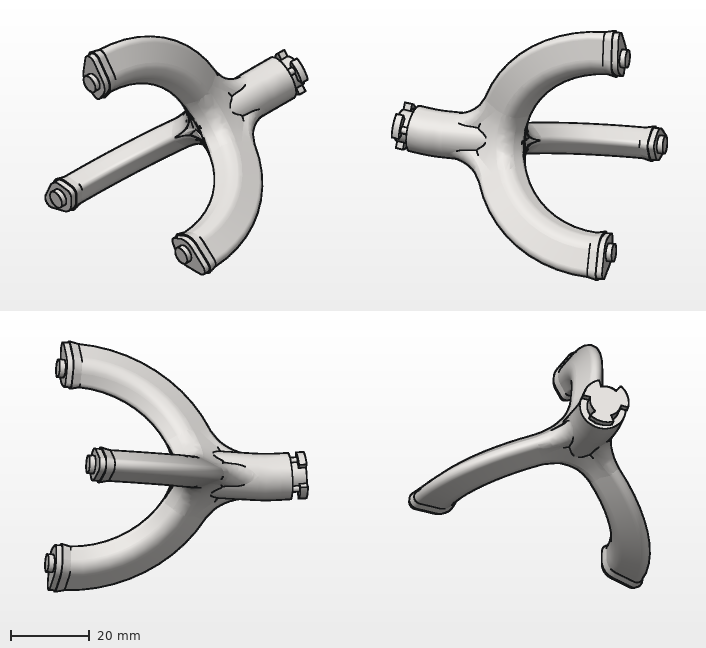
import cadquery as cq
import math


leg_count = 3
leg_pitch = 360 / leg_count
first_leg_angle = 15
leg_radius = 28.58
pin_diameter = 4.6
pin_length = 1.5
block_height = 1.6
flare_height = 2.35
flare_top = pin_length + block_height + flare_height

bend_centre_height = 4.2
bend_centre_offset = 1.3
leg_bend_radius = leg_radius + bend_centre_offset
crown_height = bend_centre_height + math.sqrt(leg_bend_radius ** 2 - bend_centre_offset ** 2)

belly_radius = 4.5
tip_radius = 2.3
tip_offset = 5.6
inner_radius = 1.9
leg_inset = 0.55
block_inset = 0.4

crotch_radius = 15
saddle_radius = 11.4
saddle_top_radius = 3.8
blend_sections = 5
blend_inset = leg_inset + 0.02
leg_sweep = 91
core_radius = 3.2

hub_radius = 5.94
bend_start = 49.5
bend_angle = 8
bend_length = 6.0
bend_direction = -45
collar_height = 2.9
bend_radius = bend_length / math.radians(bend_angle)

neck_radius = 4.1
lug_gap = 2.0
lug_height = 1.95
lug_span = 62
first_lug_angle = -43
stop_radius = 0.9
stop_circle_radius = 4.1
stop_lead_angle = -10


def polar(centre_x, radius, angle):
    """Point at an angle on a circle centred on the X axis."""
    return (centre_x + radius * math.cos(angle), radius * math.sin(angle))


tip_flank = math.acos((belly_radius - tip_radius) / tip_offset)
corner_flank = math.radians(135)
belly_middle = (tip_flank + corner_flank) / 2


def kite_rounds(inset, offset):
    """Radii of the three rounds of the inset kite, then the X centres of its tip and corner rounds."""
    belly = belly_radius - inset
    tip = tip_radius - inset
    corner = inner_radius - inset
    return belly, tip, corner, offset + tip_offset, offset - (belly - corner) * math.sqrt(2)


def half_kite(plane, inset, offset=0.0):
    """Outline of the kite from its inner corner round one flank to its tip, left open."""
    belly, tip, corner, tip_x, corner_x = kite_rounds(inset, offset)
    return (
        cq.Workplane(plane)
        .moveTo(*polar(corner_x, corner, math.pi))
        .threePointArc(
            polar(corner_x, corner, (math.pi + corner_flank) / 2),
            polar(corner_x, corner, corner_flank),
        )
        .lineTo(*polar(offset, belly, corner_flank))
        .threePointArc(polar(offset, belly, belly_middle), polar(offset, belly, tip_flank))
        .lineTo(*polar(tip_x, tip, tip_flank))
        .threePointArc(polar(tip_x, tip, tip_flank / 2), polar(tip_x, tip, 0))
    )


def kite(plane, inset, offset=0.0):
    """Closed outline of the kite: both flanks, symmetric about the plane's X axis."""
    belly, tip, corner, tip_x, corner_x = kite_rounds(inset, offset)
    return (
        half_kite(plane, inset, offset)
        .threePointArc(polar(tip_x, tip, -tip_flank / 2), polar(tip_x, tip, -tip_flank))
        .lineTo(*polar(offset, belly, -tip_flank))
        .threePointArc(polar(offset, belly, -belly_middle), polar(offset, belly, -corner_flank))
        .lineTo(*polar(corner_x, corner, -corner_flank))
        .threePointArc(
            polar(corner_x, corner, -(math.pi + corner_flank) / 2),
            polar(corner_x, corner, math.pi),
        )
        .close()
    )


def around_hub(shape, start_angle):
    """Copies of a shape, one per leg, evenly spaced about the hub axis."""
    return [
        shape.rotate((0, 0, 0), (0, 0, 1), start_angle + leg_pitch * index)
        for index in range(leg_count)
    ]


def join(body, pieces):
    """Body with every piece added to it."""
    for piece in pieces:
        body = body.union(piece)
    return body


def make_leg():
    """Bend of a leg, from its straight end to just past the hub axis."""
    section = kite(cq.Plane.XY(), leg_inset, leg_bend_radius)
    bend = section.revolve(leg_sweep, (0, 0), (0, -1))
    return bend.translate((-bend_centre_offset, 0, bend_centre_height))


def make_leg_end():
    """Flare, straight block and pin that finish a leg."""
    flange_level = pin_length + block_height
    leg_wire = kite(cq.Plane(origin=(leg_radius, 0, flare_top)), leg_inset).val()
    flange_wire = kite(cq.Plane(origin=(leg_radius, 0, flange_level)), 0).val()
    flare = cq.Workplane(cq.Solid.makeLoft([flange_wire, leg_wire], True))
    block = kite(cq.Plane(origin=(leg_radius, 0, pin_length)), block_inset).extrude(block_height)
    pin = cq.Workplane(origin=(leg_radius, 0, 0)).circle(pin_diameter / 2).extrude(pin_length)
    return flare.union(block).union(pin)


def saddle_section(centre, turn, tip):
    """Outer half of the leg section, with a tip round of the given radius, facing the blend centre."""
    belly = belly_radius - blend_inset
    tip_x = saddle_radius + tip
    belly_x = saddle_radius + tip_offset + tip_radius - blend_inset
    flank = math.acos((belly - tip) / (belly_x - tip_x))
    tip_flat, tip_side = polar(0, tip, flank)
    belly_flat, belly_side = polar(0, belly, flank)
    away = cq.Vector(-math.cos(turn), 0, -math.sin(turn))
    plane = cq.Plane(origin=centre, xDir=away, normal=away.cross(cq.Vector(0, 1, 0)))
    return (
        cq.Workplane(plane)
        .moveTo(belly_x, belly)
        .lineTo(belly_x - belly_flat, belly_side)
        .lineTo(tip_x - tip_flat, tip_side)
        .threePointArc((saddle_radius, 0), (tip_x - tip_flat, -tip_side))
        .lineTo(belly_x - belly_flat, -belly_side)
        .lineTo(belly_x, -belly)
        .close()
        .val()
    )


def make_saddle():
    """Concave blend from the ridge of a leg up into the hub, its tip round widening on the way."""
    leg_tip = tip_radius - blend_inset
    ridge_radius = leg_bend_radius + tip_offset + leg_tip
    centre_x = hub_radius + saddle_radius
    run = centre_x + bend_centre_offset
    rise = math.sqrt((ridge_radius + saddle_radius) ** 2 - run ** 2)
    centre = cq.Vector(centre_x, 0, bend_centre_height + rise)
    full_turn = math.atan2(rise, run)
    wires = []
    for index in range(blend_sections):
        share = index / (blend_sections - 1)
        tip = saddle_top_radius + (leg_tip - saddle_top_radius) * share
        wires.append(saddle_section(centre, full_turn * share, tip))
    return cq.Workplane(cq.Solid.makeLoft(wires))


def web_section(turn):
    """Half kite where the blend between two legs has turned by the given angle."""
    side = belly_radius - blend_inset
    turn_radius = crotch_radius + side
    outward = cq.Vector(math.cos(turn), math.sin(turn), 0)
    centre_distance = turn_radius / math.sin(math.radians(leg_pitch / 2))
    path = cq.Vector(centre_distance, 0, 0) - outward * turn_radius
    bend_centre = path.normalized() * -bend_centre_offset
    across = path - bend_centre
    spoke = across + cq.Vector(0, 0, math.sqrt(leg_bend_radius ** 2 - across.Length ** 2))
    origin = bend_centre + cq.Vector(0, 0, bend_centre_height)
    plane = cq.Plane(origin=origin, xDir=spoke, normal=spoke.cross(outward))
    return half_kite(plane, blend_inset, leg_bend_radius).close().val()


def make_web():
    """Concave blend between the flanks of two neighbouring legs, facing +X."""
    half_turn = math.radians(90 - leg_pitch / 2)
    step = 2 * half_turn / (blend_sections - 1)
    wires = [web_section(-half_turn + step * index) for index in range(blend_sections)]
    return cq.Workplane(cq.Solid.makeLoft(wires))


def make_core():
    """Plug that closes the middle of the crown under the hub."""
    _, _, corner, _, corner_x = kite_rounds(blend_inset, 0)
    core_bottom = crown_height + corner_x - corner
    core = cq.Workplane(origin=(0, 0, core_bottom)).circle(core_radius)
    return core.extrude(bend_start - core_bottom)


def make_hub():
    """Straight hub cylinder, and the bend from its end up to the collar, leaning towards +X."""
    straight = cq.Workplane(origin=(0, 0, crown_height)).circle(hub_radius)
    straight = straight.extrude(bend_start - crown_height)
    bend = (
        cq.Workplane(origin=(0, 0, bend_start))
        .circle(hub_radius)
        .revolve(bend_angle, (bend_radius, 0), (bend_radius, 1))
    )
    return straight, bend


def make_bayonet():
    """Collar, neck, lugs and lug stops, standing on the XY plane."""
    neck_height = lug_gap + lug_height
    collar = cq.Workplane("XY").circle(hub_radius).extrude(collar_height)
    neck = cq.Workplane(origin=(0, 0, collar_height)).circle(neck_radius).extrude(neck_height)
    half_span = math.radians(lug_span / 2)
    lug = (
        cq.Workplane(origin=(0, 0, collar_height + lug_gap))
        .lineTo(*polar(0, hub_radius, -half_span))
        .threePointArc((hub_radius, 0), polar(0, hub_radius, half_span))
        .close()
        .extrude(lug_height)
    )
    stop = (
        cq.Workplane(origin=(0, 0, collar_height))
        .center(*polar(0, stop_circle_radius, math.radians(stop_lead_angle)))
        .circle(stop_radius)
        .extrude(lug_gap)
    )
    lugs = around_hub(lug.union(stop), first_lug_angle - bend_direction)
    return join(collar.union(neck), lugs)


def seat_bayonet(bayonet):
    """Move the bayonet end onto the tilted end of the bend."""
    tilted = bayonet.translate((-bend_radius, 0, 0)).rotate((0, 0, 0), (0, 1, 0), bend_angle)
    return tilted.translate((bend_radius, 0, bend_start))


body, bend = make_hub()
body = join(body, around_hub(make_leg().union(make_leg_end()), first_leg_angle))
body = join(body, around_hub(make_web(), first_leg_angle + leg_pitch / 2))
body = join(body, around_hub(make_saddle(), first_leg_angle))
body = body.union(make_core())

tilted_end = bend.union(seat_bayonet(make_bayonet())).rotate((0, 0, 0), (0, 0, 1), bend_direction)
result = body.union(tilted_end).rotate((0, 0, 0), (1, 0, 0), -90).solids()